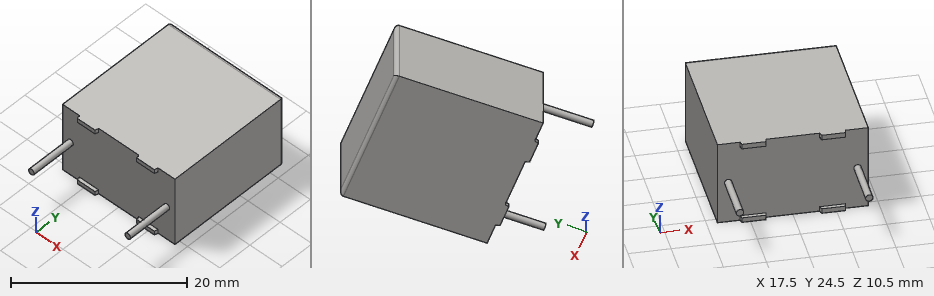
import cadquery as cq

housing_width = 17.5
housing_length = 18.0
housing_height = 10.5
back_edge_radius = 0.5

standoff_base_width = 3.01
standoff_tip_width = 2.75
standoff_length = 0.5
standoff_thickness = 0.61
standoff_spacing = 9.24

overall_length = 24.5
lead_diameter = 0.85
lead_spacing = 15.0
lead_length = overall_length - housing_length


def make_standoff(center_x, bottom_z):
    """Foot whose two ends slope inward from the -Y face to the tip."""
    half_base = standoff_base_width / 2
    half_tip = standoff_tip_width / 2
    return (
        cq.Workplane("XY", origin=(center_x, 0, bottom_z))
        .moveTo(-half_base, 0)
        .lineTo(half_base, 0)
        .lineTo(half_tip, -standoff_length)
        .lineTo(-half_tip, -standoff_length)
        .close()
        .extrude(standoff_thickness)
    )


def make_housing():
    """Box with its -Y face at Y = 0, rounded around the +Y face, with four standoffs."""
    body = (
        cq.Workplane("XY")
        .box(housing_width, housing_length, housing_height, centered=(True, False, True))
        .faces(">Y")
        .edges()
        .fillet(back_edge_radius)
    )
    lower_standoff_z = -housing_height / 2
    upper_standoff_z = housing_height / 2 - standoff_thickness
    for center_x in (-standoff_spacing / 2, standoff_spacing / 2):
        for bottom_z in (lower_standoff_z, upper_standoff_z):
            body = body.union(make_standoff(center_x, bottom_z))
    return body


def make_lead(center_x):
    """Straight round wire running from the -Y face toward -Y."""
    return (
        cq.Workplane("XZ", origin=(center_x, 0, 0))
        .circle(lead_diameter / 2)
        .extrude(lead_length)
    )


housing = make_housing()
leads = [make_lead(center_x) for center_x in (-lead_spacing / 2, lead_spacing / 2)]

result = cq.Compound.makeCompound([housing.val(), *[lead.val() for lead in leads]])